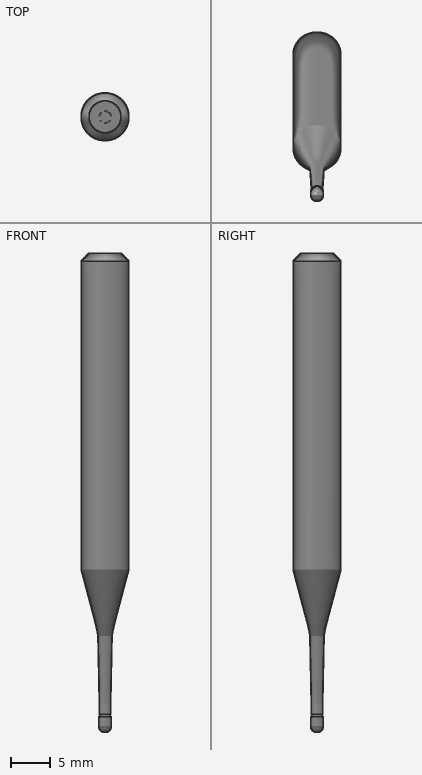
import math

import cadquery as cq

overall_length = 60.0

head_radius = 0.8
head_length = 1.95

groove_radius = 0.68
groove_width = 0.35
groove_top = head_length + groove_width

collar_radius = 0.725
collar_length = 1.3
collar_top = groove_top + collar_length

neck_top_radius = 0.9
neck_length = 8.5
neck_top = collar_top + neck_length

blend_top_radius = 1.18
blend_length = 1.45
blend_top = neck_top + blend_length

shank_radius = 3.0
shoulder_length = 6.85
shank_start = blend_top + shoulder_length
end_chamfer = 1.0


def revolve_about_tool_axis(profile):
    """Turn a closed half profile, drawn in the YZ plane, about the Z axis."""
    return profile.revolve(360, (0, 0, 0), (0, 1, 0))


def build_cutting_head():
    """Ball-nosed cutting head, from the tip up to the groove."""
    diagonal = head_radius * math.sqrt(0.5)
    profile = (
        cq.Workplane("YZ")
        .moveTo(0, 0)
        .threePointArc((diagonal, head_radius - diagonal), (head_radius, head_radius))
        .lineTo(head_radius, head_length)
        .lineTo(0, head_length)
        .close()
    )
    return revolve_about_tool_axis(profile)


def build_holder():
    """Shank, shoulder cone, blend, neck, collar and groove, from the top down to the head."""
    profile = (
        cq.Workplane("YZ")
        .moveTo(0, overall_length)
        .lineTo(shank_radius - end_chamfer, overall_length)
        .lineTo(shank_radius, overall_length - end_chamfer)
        .lineTo(shank_radius, shank_start)
        .lineTo(blend_top_radius, blend_top)
        .tangentArcPoint((neck_top_radius, neck_top), relative=False)
        .lineTo(collar_radius, collar_top)
        .lineTo(collar_radius, groove_top)
        .lineTo(groove_radius, groove_top)
        .lineTo(groove_radius, head_length)
        .lineTo(0, head_length)
        .close()
    )
    return revolve_about_tool_axis(profile)


cutting_head = build_cutting_head()
holder = build_holder()

result = cq.Compound.makeCompound([cutting_head.val(), holder.val()])